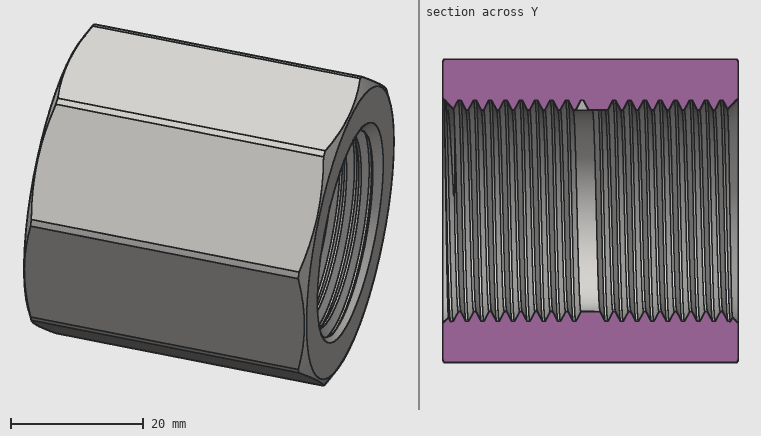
import cadquery as cq
import math

LENGTH = 44.5
SIDE_COUNT = 8
HALF_SIDE_ANGLE = 180 / SIDE_COUNT
ACROSS_FLATS = 45.7
CORNER_DIAMETER = 49.05
FACE_DIAMETER = 44.95
CHAMFER_ANGLE = 30.0

MINOR_DIAMETER = 30.3
MAJOR_DIAMETER = 33.25
PITCH = 2.31
FLANK_ANGLE = 27.5
MOUTH_DIAMETER = 33.8
MOUTH_DEPTH = 1.8
TURN_COUNT = 9
CREST_OVERLAP = 0.15
THREAD_START = 0.25


def octagonal_body():
    across_corners = ACROSS_FLATS / math.cos(math.radians(HALF_SIDE_ANGLE))
    octagon = (
        cq.Workplane("YZ")
        .transformed(rotate=(0, 0, HALF_SIDE_ANGLE))
        .polygon(SIDE_COUNT, across_corners)
        .extrude(LENGTH)
    )
    corner_radius = CORNER_DIAMETER / 2
    face_radius = FACE_DIAMETER / 2
    chamfer_length = (corner_radius - face_radius) * math.tan(math.radians(CHAMFER_ANGLE))
    turned_blank = (
        cq.Workplane("XY")
        .polyline([
            (0, 0),
            (0, face_radius),
            (chamfer_length, corner_radius),
            (LENGTH - chamfer_length, corner_radius),
            (LENGTH, face_radius),
            (LENGTH, 0),
        ])
        .close()
        .revolve(360, (0, 0, 0), (1, 0, 0))
    )
    return octagon.intersect(turned_blank)


def bore_cutter():
    minor_radius = MINOR_DIAMETER / 2
    mouth_radius = MOUTH_DIAMETER / 2
    return (
        cq.Workplane("XY")
        .polyline([
            (0, 0),
            (0, mouth_radius),
            (MOUTH_DEPTH, minor_radius),
            (LENGTH - MOUTH_DEPTH, minor_radius),
            (LENGTH, mouth_radius),
            (LENGTH, 0),
        ])
        .close()
        .revolve(360, (0, 0, 0), (1, 0, 0))
    )


def thread_turn(start):
    """One left-handed turn of the helical groove, starting at this place along X."""
    minor_radius = MINOR_DIAMETER / 2
    major_radius = MAJOR_DIAMETER / 2
    flank_slope = math.tan(math.radians(FLANK_ANGLE))
    flank_width = (major_radius - minor_radius) * flank_slope
    root_half = (PITCH / 2 - flank_width) / 2
    base_radius = minor_radius - CREST_OVERLAP
    base_half = root_half + (major_radius - base_radius) * flank_slope
    helix = cq.Wire.makeHelix(PITCH, PITCH, minor_radius, lefthand=True)
    groove = (
        cq.Workplane("XZ")
        .polyline([
            (base_radius, -base_half),
            (major_radius, -root_half),
            (major_radius, root_half),
            (base_radius, base_half),
        ])
        .close()
        .sweep(cq.Workplane(obj=helix), isFrenet=True)
    )
    return (
        groove
        .rotate((0, 0, 0), (0, 1, 0), 90)
        .rotate((0, 0, 0), (1, 0, 0), 180)
        .translate((start, 0, 0))
    )


result = octagonal_body().cut(bore_cutter())

for turn in range(TURN_COUNT):
    near_turn = thread_turn(THREAD_START + turn * PITCH)
    far_turn = near_turn.rotate((LENGTH / 2, 0, 0), (LENGTH / 2, 0, 1), 180)
    result = result.cut(near_turn, clean=False).cut(far_turn, clean=False)